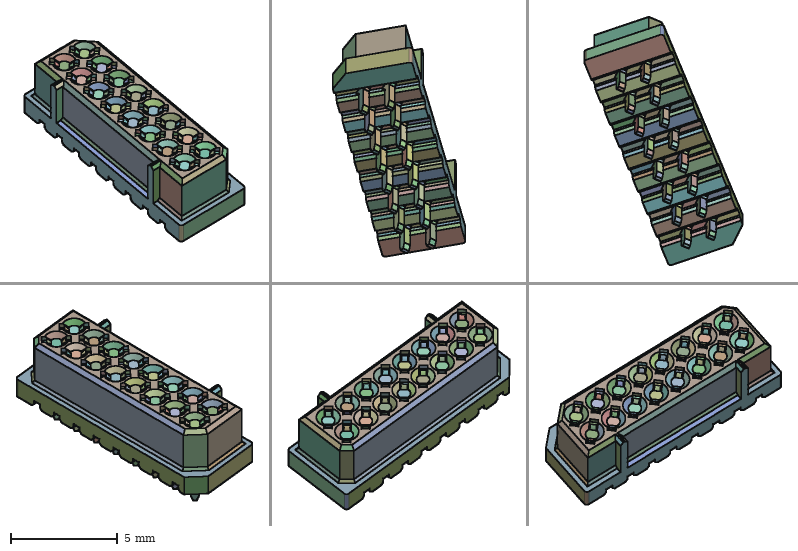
import cadquery as cq
import math


BASE_LENGTH = 11.45
BASE_DEPTH = 4.0
BASE_BOTTOM = 1.44
BASE_TOP = 2.52
CORNER_CHAMFER = 0.8
CORNER_RADIUS = 0.15

TOTAL_HEIGHT = 4.85
SHROUD_INSET = 0.39
SHROUD_RIGHT_CHAMFER = 0.48
TOP_CHAMFER = 0.21
FOOT_CHAMFER = 0.13

RIB_WIDTH = 0.41
RIB_CHAMFER = 0.16
RIB_FROM_END = 2.21

COLUMNS = 8
ROWS = 2
PITCH = 1.25
BLADE_ANGLE = 45.0

SOCKET_DEPTH = 0.24
SOCKET_TOP_RADIUS = 0.56
SOCKET_FLOOR_RADIUS = 0.31
SLOT_LENGTH = 1.39
SLOT_WIDTH = 0.4

BODY_CLEARANCE = 0.16
BLADE_THICKNESS = 0.32
BODY_HALF_WIDTH = 0.46
TINE_INNER_RADIUS = 0.24
TINE_THICKNESS = 0.3
TINE_HEIGHT = 0.15
TINE_BULGE = 0.02
TINE_ROOT = 0.11
PIN_WIDTH = 0.4
PIN_TIP_WIDTH = 0.17
PIN_TIP_LENGTH = 0.31
SHOULDER_STEP = 0.09
SHOULDER_RISE = 0.11

GROOVE_WIDTH = 0.37
GROOVE_HEIGHT = 0.34
GROOVE_CHAMFER = 0.14

SOCKET_FLOOR = TOTAL_HEIGHT - SOCKET_DEPTH
BODY_BOTTOM = BASE_BOTTOM + BODY_CLEARANCE

column_places = [BASE_LENGTH / 2 + (i - (COLUMNS - 1) / 2) * PITCH for i in range(COLUMNS)]
row_places = [BASE_DEPTH / 2 + (i - (ROWS - 1) / 2) * PITCH for i in range(ROWS)]


def make_base():
    """Plate with one large chamfered back-left corner and three rounded corners."""
    plate = cq.Workplane("XY").box(
        BASE_LENGTH, BASE_DEPTH, BASE_TOP - BASE_BOTTOM, centered=False
    )
    plate = plate.translate((0, 0, BASE_BOTTOM))
    plate = plate.edges("|Z").edges("<Y or >X").fillet(CORNER_RADIUS)
    return plate.edges("|Z").edges(">(-1,1,0)").chamfer(CORNER_CHAMFER)


def shroud_layer(offset, bottom, height):
    """Shroud outline grown outward by offset, with both back corners cut at 45 degrees."""
    low = SHROUD_INSET - offset
    right = BASE_LENGTH - low
    back = BASE_DEPTH - low
    cut_growth = offset * (2 - math.sqrt(2))
    left_cut = CORNER_CHAMFER + cut_growth
    right_cut = SHROUD_RIGHT_CHAMFER + cut_growth
    outline = [
        (low, low),
        (right, low),
        (right, back - right_cut),
        (right - right_cut, back),
        (low + left_cut, back),
        (low, back - left_cut),
    ]
    return cq.Workplane("XY").workplane(offset=bottom).polyline(outline).close().extrude(height)


def make_shroud():
    """Block with a sloping foot and a chamfered top edge."""
    block = shroud_layer(0, BASE_TOP, TOTAL_HEIGHT - BASE_TOP).faces(">Z").chamfer(TOP_CHAMFER)
    foot = shroud_layer(FOOT_CHAMFER, BASE_TOP - FOOT_CHAMFER, 2 * FOOT_CHAMFER)
    foot = foot.faces(">Z").chamfer(FOOT_CHAMFER)
    return block.union(foot)


def make_rib(x):
    """Upright rib between the shroud and the front face of the base, roofed by two chamfers."""
    depth = SHROUD_INSET + TOP_CHAMFER
    height = TOTAL_HEIGHT - BASE_TOP
    rib = cq.Workplane("XY").box(RIB_WIDTH, depth, height, centered=(True, False, False))
    rib = rib.edges("|Y and >Z").chamfer(RIB_CHAMFER)
    return rib.translate((x, 0, BASE_TOP))


def make_groove(x):
    """Cutter for a groove along Y in the underside, with flared lower edges."""
    half = GROOVE_WIDTH / 2
    flared = half + GROOVE_CHAMFER
    outline = [
        (x - flared, BASE_BOTTOM),
        (x - half, BASE_BOTTOM + GROOVE_CHAMFER),
        (x - half, BASE_BOTTOM + GROOVE_HEIGHT),
        (x + half, BASE_BOTTOM + GROOVE_HEIGHT),
        (x + half, BASE_BOTTOM + GROOVE_CHAMFER),
        (x + flared, BASE_BOTTOM),
    ]
    return cq.Workplane("XZ").polyline(outline).close().extrude(-BASE_DEPTH)


def make_socket():
    """Cutter for a conical lead-in crossed by a rectangular slot of the same depth."""
    cone = cq.Workplane(
        cq.Solid.makeCone(
            SOCKET_FLOOR_RADIUS, SOCKET_TOP_RADIUS, SOCKET_DEPTH, pnt=cq.Vector(0, 0, SOCKET_FLOOR)
        )
    )
    slot = cq.Workplane("XY").workplane(offset=SOCKET_FLOOR).rect(SLOT_LENGTH, SLOT_WIDTH)
    return cone.union(slot.extrude(SOCKET_DEPTH))


def make_blade():
    """Flat contact: tapered pin, flared shoulder and a wide body rising to the socket floor."""
    pin = PIN_WIDTH / 2
    tip = PIN_TIP_WIDTH / 2
    shoulder = pin + SHOULDER_STEP
    right_side = [
        (tip, 0),
        (pin, PIN_TIP_LENGTH),
        (pin, BASE_BOTTOM),
        (shoulder, BASE_BOTTOM + SHOULDER_RISE),
        (shoulder, BODY_BOTTOM),
        (BODY_HALF_WIDTH, BODY_BOTTOM),
        (BODY_HALF_WIDTH, SOCKET_FLOOR),
    ]
    left_side = [(-x, z) for x, z in reversed(right_side)]
    outline = cq.Workplane("XZ").polyline(right_side + left_side).close()
    return outline.extrude(BLADE_THICKNESS / 2, both=True)


def make_tine():
    """Contact tip on the socket floor: upright back and a bulging slope toward the centre."""
    run = BODY_HALF_WIDTH - TINE_INNER_RADIUS
    slope = math.hypot(run, TINE_HEIGHT)
    bulge_point = (
        BODY_HALF_WIDTH - run / 2 - TINE_BULGE * TINE_HEIGHT / slope,
        SOCKET_FLOOR + TINE_HEIGHT / 2 + TINE_BULGE * run / slope,
    )
    outline = (
        cq.Workplane("XZ")
        .moveTo(BODY_HALF_WIDTH, SOCKET_FLOOR - TINE_ROOT)
        .lineTo(BODY_HALF_WIDTH, SOCKET_FLOOR + TINE_HEIGHT)
        .threePointArc(bulge_point, (TINE_INNER_RADIUS, SOCKET_FLOOR))
        .lineTo(TINE_INNER_RADIUS, SOCKET_FLOOR - TINE_ROOT)
        .close()
    )
    return outline.extrude(TINE_THICKNESS / 2, both=True)


def make_contact():
    """Blade with a facing pair of tines."""
    tine = make_tine()
    return make_blade().union(tine).union(tine.mirror("YZ"))


def place_on_grid(shape):
    """Copies of a shape turned to the blade angle, one at each contact place."""
    turned = shape.rotate((0, 0, 0), (0, 0, 1), BLADE_ANGLE)
    return [turned.translate((x, y, 0)) for x in column_places for y in row_places]


result = make_base().union(make_shroud())
for rib_x in (RIB_FROM_END, BASE_LENGTH - RIB_FROM_END):
    result = result.union(make_rib(rib_x))
for column_x in column_places:
    result = result.cut(make_groove(column_x))
for socket in place_on_grid(make_socket()):
    result = result.cut(socket)
for contact in place_on_grid(make_contact()):
    result = result.union(contact)